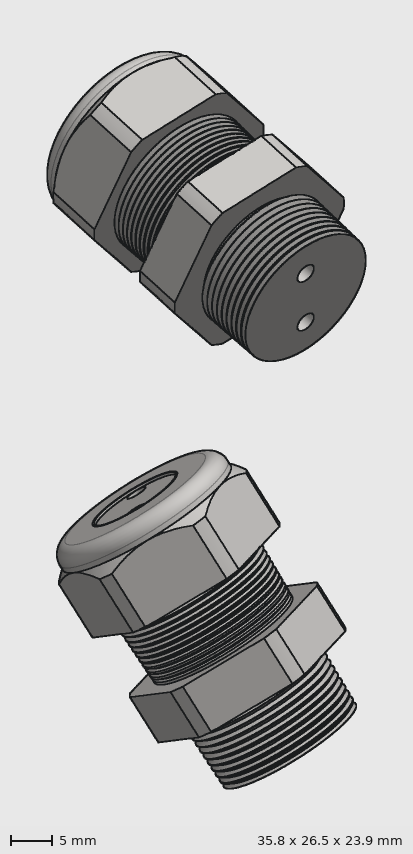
import cadquery as cq
import math


ACROSS_FLATS = 23.9
CORNER_DIAMETER = 26.5
FLAT_RADIUS = ACROSS_FLATS / 2
CORNER_RADIUS = CORNER_DIAMETER / 2
HEX_POINT_DIAMETER = ACROSS_FLATS / math.cos(math.pi / 6)

DOME_END = 2.75
CAP_END = 11.8
COLLAR_START = 20.45
COLLAR_END = 27.05
THREAD_RUNOUT_END = 27.85
BODY_END = 35.8

DOME_FILLET = 2.0
CAP_CHAMFER = CORNER_RADIUS - FLAT_RADIUS
CAP_BORE_RADIUS = 6.0

RECESS_RADIUS = 5.75
RECESS_DEPTH = 0.35
CABLE_HOLE_DIAMETER = 2.58
CABLE_HOLE_OFFSET = 4.45

THREAD_HALF_ANGLE = math.radians(30)

CAP_THREAD_PITCH = 0.765
CAP_THREAD_GROOVES = 11
CAP_THREAD_ROOT_RADIUS = 9.45
CAP_THREAD_START_RADIUS = 10.1
CAP_THREAD_END_RADIUS = 9.8

ENTRY_THREAD_PITCH = 0.89
ENTRY_THREAD_GROOVES = 9
ENTRY_THREAD_ROOT_RADIUS = 8.85
ENTRY_THREAD_START_RADIUS = 9.6
ENTRY_THREAD_END_RADIUS = 9.42
ENTRY_NECK_RADIUS = 8.75
ENTRY_RUNOUT_MIDDLE = (27.5, 8.95)


def cylinder(start, end, radius):
    return cq.Workplane("YZ", origin=(start, 0, 0)).circle(radius).extrude(end - start)


def revolve_about_x(outline):
    return outline.close().revolve(360, (0, 0, 0), (1, 0, 0))


def rounded_hexagon(start, end):
    """Hexagonal prism with flats at the top and bottom and corners turned to a cylinder."""
    length = end - start
    prism = cq.Workplane("YZ", origin=(start, 0, 0)).polygon(6, HEX_POINT_DIAMETER).extrude(length)
    return prism.intersect(cylinder(start, end, CORNER_RADIUS))


def thread_grooves(first_root, count, pitch, root_radius):
    """Row of V grooves; each is one pitch wide at the radius where the crests would be sharp."""
    sharp_radius = root_radius + pitch / 2 / math.tan(THREAD_HALF_ANGLE)
    grooves = []
    for index in range(count):
        root = first_root + index * pitch
        outline = (
            cq.Workplane("XY")
            .moveTo(root, root_radius)
            .lineTo(root + pitch / 2, sharp_radius)
            .lineTo(root - pitch / 2, sharp_radius)
        )
        grooves.append(revolve_about_x(outline).val())
    return grooves


def cut_all(blank, tools):
    for tool in tools:
        blank = blank.cut(cq.Workplane(tool))
    return blank


def make_cap_nut():
    dome = cylinder(0, DOME_END, FLAT_RADIUS).faces("<X").edges().fillet(DOME_FILLET)
    chamfered_blank = cylinder(DOME_END, CAP_END, CORNER_RADIUS).faces("<X").edges().chamfer(CAP_CHAMFER)
    hexagon = rounded_hexagon(DOME_END, CAP_END).intersect(chamfered_blank)
    return dome.union(hexagon).cut(cylinder(0, CAP_END, CAP_BORE_RADIUS))


def make_cap_thread():
    rod = revolve_about_x(
        cq.Workplane("XY")
        .moveTo(CAP_END, 0)
        .lineTo(CAP_END, CAP_THREAD_START_RADIUS)
        .lineTo(COLLAR_START, CAP_THREAD_END_RADIUS)
        .lineTo(COLLAR_START, 0)
    )
    first_root = CAP_END + CAP_THREAD_PITCH / 2
    return cut_all(rod, thread_grooves(
        first_root, CAP_THREAD_GROOVES, CAP_THREAD_PITCH, CAP_THREAD_ROOT_RADIUS))


def make_entry_thread():
    rod = revolve_about_x(
        cq.Workplane("XY")
        .moveTo(COLLAR_END, 0)
        .lineTo(COLLAR_END, ENTRY_NECK_RADIUS)
        .threePointArc(ENTRY_RUNOUT_MIDDLE, (THREAD_RUNOUT_END, ENTRY_THREAD_START_RADIUS))
        .lineTo(BODY_END, ENTRY_THREAD_END_RADIUS)
        .lineTo(BODY_END, 0)
    )
    first_root = THREAD_RUNOUT_END + ENTRY_THREAD_PITCH / 2
    return cut_all(rod, thread_grooves(
        first_root, ENTRY_THREAD_GROOVES, ENTRY_THREAD_PITCH, ENTRY_THREAD_ROOT_RADIUS))


def make_gland_body():
    neck = cylinder(0, CAP_END, CAP_BORE_RADIUS)
    collar = rounded_hexagon(COLLAR_START, COLLAR_END)
    body = neck.union(make_cap_thread()).union(collar).union(make_entry_thread())
    recess = cylinder(0, RECESS_DEPTH, RECESS_RADIUS)
    cable_holes = (
        cq.Workplane("YZ")
        .pushPoints([(0, CABLE_HOLE_OFFSET), (0, -CABLE_HOLE_OFFSET)])
        .circle(CABLE_HOLE_DIAMETER / 2)
        .extrude(BODY_END)
    )
    return body.cut(recess).cut(cable_holes)


cap_nut = make_cap_nut()
gland_body = make_gland_body()

result = cq.Compound.makeCompound([cap_nut.val(), gland_body.val()])